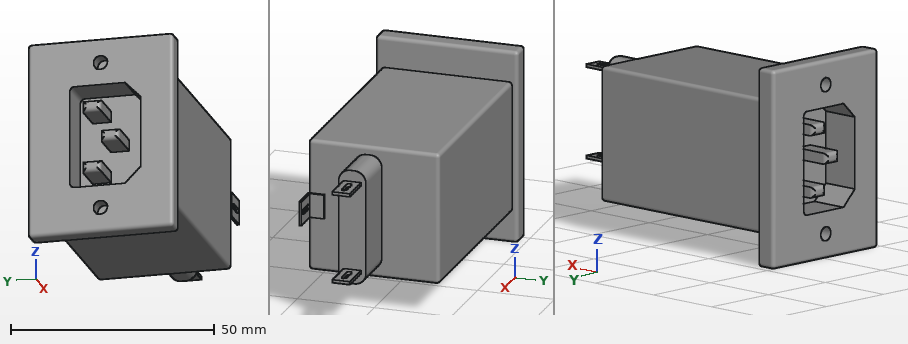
import cadquery as cq

length = 81.5

flange_width = 37.0
flange_height = 50.0
flange_thickness = 5.5
edge_radius = 1.0

can_size = 34.0
can_back = 60.9

block_width = 7.1
block_height = 29.6
block_radius = 3.0
block_y = -1.5
block_back = 72.95

screw_diameter = 3.5
screw_depth = 4.1
screw_offset = 18.75

socket_width = 18.0
socket_height = 26.1
socket_y = -1.2
socket_depth = 9.95
socket_chamfer = 4.0
socket_radius = 1.2

pin_width = 4.65
pin_thickness = 2.8
pin_root = 2.45
pin_tip_radius = 1.1
pin_tip = 0.0
pin_pitch = 7.8
outer_pin_y = 2.3
earth_pin_y = -2.4

tab_width = 4.6
tab_thickness = 0.8
tab_offset = 11.5
tab_root = 0.8
slot_length = 5.05
slot_width = 1.3
tab_slot_x = 77.2

earth_width = 6.2
earth_thickness = 0.6
earth_outer_y = -can_size / 2
earth_foot = 4.2
earth_tip = 68.05
earth_slot_x = 64.5


def block(x_start, x_end, width, height, y=0.0, z=0.0):
    """Box between two X positions, centred on the given Y and Z."""
    return (
        cq.Workplane("XY")
        .box(x_end - x_start, width, height, centered=(False, True, True))
        .translate((x_start, y, z))
    )


def make_flange():
    flange = block(0, flange_thickness, flange_width, flange_height).edges().fillet(edge_radius)
    screw_holes = (
        cq.Workplane("YZ")
        .pushPoints([(0, -screw_offset), (0, screw_offset)])
        .circle(screw_diameter / 2)
        .extrude(screw_depth)
    )
    return flange.cut(screw_holes)


def make_can():
    can = block(flange_thickness / 2, can_back, can_size, can_size)
    return can.edges("|X or >X").fillet(edge_radius)


def make_terminal_block():
    body = block(can_back - edge_radius, block_back, block_width, block_height, block_y)
    return body.edges("|X").fillet(block_radius)


def make_socket():
    recess = block(0, socket_depth, socket_width, socket_height, socket_y)
    recess = recess.edges("|X and <Y").chamfer(socket_chamfer)
    return recess.edges("|X and >Y").fillet(socket_radius)


def make_pin(y, z):
    pin = block(pin_tip, socket_depth + pin_root, pin_width, pin_thickness, y, z)
    return pin.faces("<X").edges().fillet(pin_tip_radius)


def make_solder_tab(z):
    tab = block(block_back - tab_root, length, tab_width, tab_thickness, block_y, z)
    slot = (
        cq.Workplane("XY", origin=(tab_slot_x, block_y, z))
        .slot2D(slot_length, slot_width)
        .extrude(tab_thickness, both=True)
    )
    return tab.cut(slot)


def make_earth_tab():
    foot_y = earth_outer_y + earth_foot / 2
    blade_y = earth_outer_y + earth_thickness / 2
    foot = block(can_back, can_back + earth_thickness, earth_foot, earth_width, foot_y)
    blade = block(can_back, earth_tip, earth_thickness, earth_width, blade_y)
    slot = (
        cq.Workplane("XZ", origin=(earth_slot_x, blade_y, 0))
        .slot2D(slot_length, slot_width)
        .extrude(earth_thickness, both=True)
    )
    return foot.union(blade).cut(slot)


result = make_flange().union(make_can()).union(make_terminal_block()).cut(make_socket())

pin_places = [(outer_pin_y, -pin_pitch), (earth_pin_y, 0), (outer_pin_y, pin_pitch)]
for pin_y, pin_z in pin_places:
    result = result.union(make_pin(pin_y, pin_z))

for tab_z in (-tab_offset, tab_offset):
    result = result.union(make_solder_tab(tab_z))

result = result.union(make_earth_tab())